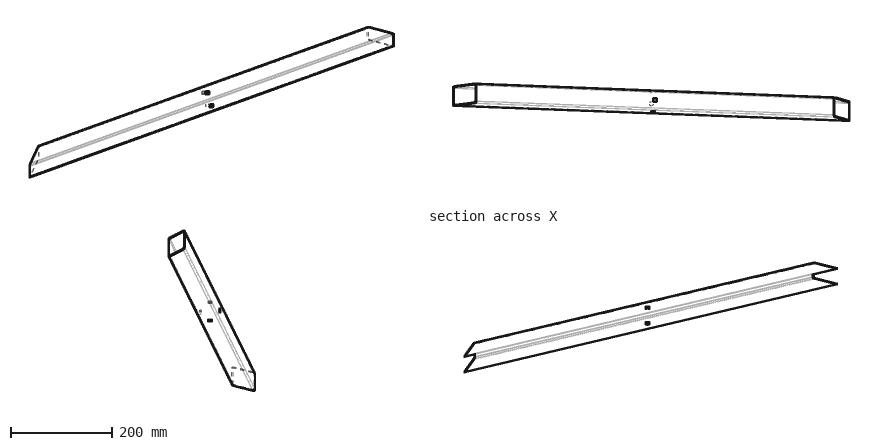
import cadquery as cq

length = 800.0
width = 40.0
wall = 2.0
outer_radius = 4.0
inner_radius = outer_radius - wall
hole_diameter = 8.0


def square_bar(side, corner_radius):
    """Full-length square bar along Y, centred on the origin, with rounded long edges."""
    bar = cq.Workplane("XY").box(side, length, side)
    return bar.edges("|Y").fillet(corner_radius)


def mitre_envelope():
    """Trapezoid with 45 degree ends: full length on the +X side, shorter on the -X side."""
    long_end = length / 2
    short_end = long_end - width
    half = width / 2
    outline = [(half, -long_end), (half, long_end), (-half, short_end), (-half, -short_end)]
    return cq.Workplane("XY").polyline(outline).close().extrude(half, both=True)


def through_hole(plane):
    """Drill cutter through both opposite walls at the middle of the tube."""
    return cq.Workplane(plane).circle(hole_diameter / 2).extrude(width, both=True)


tube = square_bar(width, outer_radius).cut(square_bar(width - 2 * wall, inner_radius))

result = tube.intersect(mitre_envelope())

for hole_plane in ("XY", "YZ"):
    result = result.cut(through_hole(hole_plane))